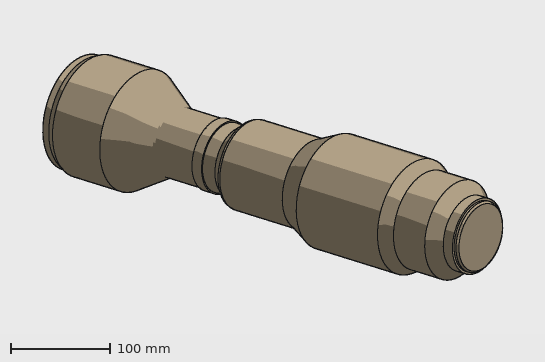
import cadquery as cq

length = 517.0

head_radius = 64.0
head_lip_radius = 60.5
neck_radius = 36.5
head_cone_end_radius = 37.0
collar_radius = 38.0
sleeve_radius = 47.5
sleeve_shoulder_radius = 43.0
sleeve_face_radius = 46.5
body_radius = 60.5
tail_radius = 52.0
tip_radius = 40.0
tip_rim_radius = 37.0
rim_chamfer = 2.0

head_lip_end = 8.0
head_start = 15.5
head_end = 76.5
head_cone_end = 123.0
neck_start = 125.0
collar_start = 175.0
collar_end = 187.0
neck_end = 203.0
sleeve_shoulder = 214.0
sleeve_face = 215.0
sleeve_start = 218.0
sleeve_end = 299.0
body_start = 327.5
body_end = 432.0
tail_start = 446.0
tail_end = 486.5
tip_start = 500.5
tip_end = 512.5

outline = [
    (0, 0),
    (0, head_lip_radius),
    (head_lip_end, head_lip_radius),
    (head_start, head_radius),
    (head_end, head_radius),
    (head_cone_end, head_cone_end_radius),
    (neck_start, neck_radius),
    (collar_start, neck_radius),
    (collar_start, collar_radius),
    (collar_end, collar_radius),
    (collar_end, neck_radius),
    (neck_end, neck_radius),
    (sleeve_shoulder, sleeve_shoulder_radius),
    (sleeve_face, sleeve_face_radius),
    (sleeve_start, sleeve_radius),
    (sleeve_end, sleeve_radius),
    (body_start, body_radius),
    (body_end, body_radius),
    (tail_start, tail_radius),
    (tail_end, tail_radius),
    (tip_start, tip_radius),
    (tip_end, tip_radius),
    (tip_end, tip_rim_radius),
    (length - rim_chamfer, tip_rim_radius),
    (length, tip_rim_radius - rim_chamfer),
    (length, 0),
]

result = cq.Workplane("XZ").polyline(outline).close().revolve(360, (0, 0, 0), (1, 0, 0))